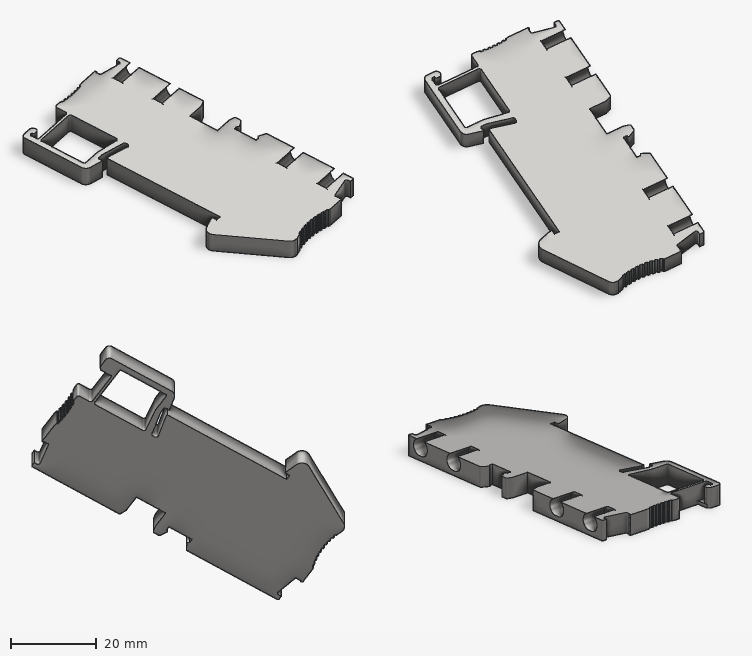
import cadquery as cq
import math


THICKNESS = 5.2
LEFT_X = -36.0
RIGHT_X = 36.26
TOP_Y = 35.4
LEFT_SKIRT_Y = 12.85
RAIL_SEAT_Y = 6.09
FOOT_CATCH_Y = 4.76

TIP_ROUND = 0.15
EDGE_ROUND = 0.3
NECK_ROUND = 0.4
BEND_ROUND = 0.5
STRIP_ROUND = 0.6
CURL_ROUND = 0.7
FOOT_ROUND = 1.05

HOOK_X = 34.26
HOOK_UNDERSIDE_Y = 34.13
HOOK_NECK_X = 32.9
SHOULDER_Y = 28.02
LEDGE_Y = 28.26
LEDGE_WIDTH = 0.5

DEEP_NOTCH_LEFT = -9.07
DEEP_NOTCH_RIGHT = -0.97
DEEP_NOTCH_FLOOR_Y = 29.3
DEEP_NOTCH_TAPER_Y = 33.7
DEEP_NOTCH_MOUTH_LEFT = -9.75
POST_TOP_LEFT = -0.5
POST_TOP_RIGHT = 1.3
SNAP_NOTCH_LEFT = 1.8
SNAP_NOTCH_RIGHT = 8.18
SNAP_NOTCH_FLOOR_Y = 32.15
SNAP_LIP_Y = 33.4
SNAP_LIP_REACH = 0.5
SNAP_LIP_HEIGHT = 0.3
SNAP_MOUTH_RIGHT = 8.7

STRIP_OUTER_X = -32.3
STRIP_INNER_X = -31.62
FOOT_BAR_TOP_Y = 1.52
WINDOW_TOP_RIGHT_X = -17.42
WINDOW_BEND_X = -18.64
WINDOW_BEND_Y = 6.4
CURL_TOP_Y = 4.08
CURL_NOSE_X = -34.15
CURL_NOSE_Y = 2.36
CURL_THROAT_X = -34.75
WEB_HEIGHT = 0.9
WEB_FILLET = 0.35
WEB_LEFT_X = (LEFT_X + CURL_THROAT_X) / 2
LATCH_TIP_X = -15.9
LATCH_HEEL_X = -17.1
LATCH_HEEL_ROUND = 1.7
LATCH_THROAT_X = -17.23
SLOT_TOP_LEFT_X = -15.6
SLOT_TOP_RIGHT_X = -13.95
SLOT_MOUTH_X = -15.6
SLOT_BEND_Y = 6.7

FIXED_FOOT_ROOT_X = 17.5
FIXED_FOOT_TIP_X = 16.15
FIXED_FOOT_APEX = (17.885, -0.932)
FIXED_FOOT_ROUND = 1.885
END_ROUND = 1.8
FIXED_FOOT_SLOPE = math.radians(30)

GRIP_PITCH = 1.22
GRIP_GAP = 0.72
GRIP_GAP_DEPTH = 0.25
GRIP_GAP_BAR_LENGTH = 4.0
LEFT_GRIP_Y = 18.67
LEFT_GRIP_SAG = 0.42
LEFT_GRIP_HALF_CHORD = 4.3
LEFT_GRIP_GAPS = 6
RIGHT_GRIP_Y = 17.4
RIGHT_GRIP_GAP_Y = 18.06
RIGHT_GRIP_SAG = 1.09
RIGHT_GRIP_HALF_CHORD = 6.2
RIGHT_GRIP_GAPS = 9

GROOVE_XS = (-29.9, -18.15, 18.15, 29.9)
GROOVE_END_Y = 28.86
GROOVE_HALF_OPENING = 1.3
GROOVE_HALF_FLOOR = 0.33
GROOVE_RADIUS = 2.1


def unit(start, end):
    """Unit vector from start to end."""
    length = math.dist(start, end)
    return ((end[0] - start[0]) / length, (end[1] - start[1]) / length)


def rounded_prism(corners, height):
    """Extrude a closed outline of (x, y, radius) corners, each rounded by its radius."""
    path = None
    for index, (x, y, radius) in enumerate(corners):
        to_before = unit((x, y), corners[index - 1][:2])
        to_after = unit((x, y), corners[(index + 1) % len(corners)][:2])
        cosine = to_before[0] * to_after[0] + to_before[1] * to_after[1]
        half_angle = math.acos(cosine) / 2
        setback = radius / math.tan(half_angle)
        entry = (x + setback * to_before[0], y + setback * to_before[1])
        path = path.lineTo(*entry) if path else cq.Workplane("XY").moveTo(*entry)
        if radius > 0:
            leave = (x + setback * to_after[0], y + setback * to_after[1])
            bisector = unit((0, 0), (to_before[0] + to_after[0], to_before[1] + to_after[1]))
            reach = radius / math.sin(half_angle) - radius
            middle = (x + reach * bisector[0], y + reach * bisector[1])
            path = path.threePointArc(middle, leave)
    return path.close().extrude(height)


def end_hook():
    """Corners of the right-hand end hook, from the top edge down to the ledge."""
    return [
        (HOOK_X, TOP_Y, EDGE_ROUND),
        (HOOK_X, HOOK_UNDERSIDE_Y, 0),
        (HOOK_NECK_X, HOOK_UNDERSIDE_Y, BEND_ROUND),
        (HOOK_X, SHOULDER_Y, EDGE_ROUND),
        (RIGHT_X - LEDGE_WIDTH, SHOULDER_Y, 0),
        (RIGHT_X - LEDGE_WIDTH, LEDGE_Y, 0),
    ]


def mirrored(corners):
    """The same corners mirrored about X = 0, in reverse order."""
    return [(-x, y, radius) for x, y, radius in reversed(corners)]


def top_notches():
    """Corners of the deep notch, the post beside it and the snap notch, left to right."""
    return [
        (DEEP_NOTCH_MOUTH_LEFT, TOP_Y, EDGE_ROUND),
        (DEEP_NOTCH_LEFT, DEEP_NOTCH_TAPER_Y, BEND_ROUND),
        (DEEP_NOTCH_LEFT, DEEP_NOTCH_FLOOR_Y, 0),
        (DEEP_NOTCH_RIGHT, DEEP_NOTCH_FLOOR_Y, 0),
        (DEEP_NOTCH_RIGHT, DEEP_NOTCH_TAPER_Y, BEND_ROUND),
        (POST_TOP_LEFT, TOP_Y, NECK_ROUND),
        (POST_TOP_RIGHT, TOP_Y, BEND_ROUND),
        (SNAP_NOTCH_LEFT + SNAP_LIP_REACH, SNAP_LIP_Y, TIP_ROUND),
        (SNAP_NOTCH_LEFT, SNAP_LIP_Y - SNAP_LIP_HEIGHT, 0),
        (SNAP_NOTCH_LEFT, SNAP_NOTCH_FLOOR_Y, 0),
        (SNAP_NOTCH_RIGHT, SNAP_NOTCH_FLOOR_Y, 0),
        (SNAP_NOTCH_RIGHT, SNAP_LIP_Y - SNAP_LIP_HEIGHT, 0),
        (SNAP_NOTCH_RIGHT - SNAP_LIP_REACH, SNAP_LIP_Y, TIP_ROUND),
        (SNAP_MOUTH_RIGHT, TOP_Y, BEND_ROUND),
    ]


def fixed_foot():
    """Corners of the fixed foot, from the right end round to the rail seat."""
    apex_x, apex_y = FIXED_FOOT_APEX
    slope_end_y = apex_y + (RIGHT_X - apex_x) * math.tan(FIXED_FOOT_SLOPE)
    return [
        (RIGHT_X, slope_end_y, END_ROUND),
        (apex_x, apex_y, FIXED_FOOT_ROUND),
        (FIXED_FOOT_TIP_X, FOOT_CATCH_Y, EDGE_ROUND),
        (FIXED_FOOT_ROOT_X, FOOT_CATCH_Y, 0),
        (FIXED_FOOT_ROOT_X, RAIL_SEAT_Y, 0),
    ]


def spring_foot():
    """Corners of the latch slot and the spring foot, from the rail seat to the left end."""
    return [
        (SLOT_MOUTH_X, RAIL_SEAT_Y, 0),
        (SLOT_MOUTH_X, SLOT_BEND_Y, BEND_ROUND),
        (SLOT_TOP_RIGHT_X, LEFT_SKIRT_Y, STRIP_ROUND),
        (SLOT_TOP_LEFT_X, LEFT_SKIRT_Y, NECK_ROUND),
        (LATCH_THROAT_X, WINDOW_BEND_Y, BEND_ROUND),
        (LATCH_THROAT_X, FOOT_CATCH_Y, EDGE_ROUND),
        (LATCH_TIP_X, FOOT_CATCH_Y, 0),
        (LATCH_HEEL_X, 0, LATCH_HEEL_ROUND),
        (LEFT_X, 0, FOOT_ROUND),
        (LEFT_X, CURL_TOP_Y, FOOT_ROUND),
        (CURL_NOSE_X, CURL_TOP_Y, CURL_ROUND),
        (CURL_NOSE_X, CURL_NOSE_Y, BEND_ROUND),
        (CURL_THROAT_X, CURL_NOSE_Y, 0),
        (CURL_THROAT_X, FOOT_BAR_TOP_Y, BEND_ROUND),
        (STRIP_OUTER_X, FOOT_BAR_TOP_Y, NECK_ROUND),
        (STRIP_OUTER_X, LEFT_SKIRT_Y, STRIP_ROUND),
        (LEFT_X, LEFT_SKIRT_Y, BEND_ROUND),
    ]


def left_end():
    """Corners of the left end hook, from the ledge up to the top edge."""
    hook = mirrored(end_hook())
    ledge_x = LEFT_X + LEDGE_WIDTH
    return [(LEFT_X, LEDGE_Y, 0), (ledge_x, LEDGE_Y, 0), (ledge_x, SHOULDER_Y, 0)] + hook[2:]


def foot_window():
    """Opening enclosed by the spring foot."""
    corners = [
        (STRIP_INNER_X, FOOT_BAR_TOP_Y, NECK_ROUND),
        (WINDOW_BEND_X, FOOT_BAR_TOP_Y, NECK_ROUND),
        (WINDOW_BEND_X, WINDOW_BEND_Y, BEND_ROUND),
        (WINDOW_TOP_RIGHT_X, LEFT_SKIRT_Y, BEND_ROUND),
        (STRIP_INNER_X, LEFT_SKIRT_Y, STRIP_ROUND),
    ]
    return rounded_prism(corners, THICKNESS)


def curl_web():
    """Thin web closing the bottom of the curl of the spring foot."""
    buried_y = FOOT_BAR_TOP_Y / 2
    buried_x = (STRIP_OUTER_X + STRIP_INNER_X) / 2
    corners = [
        (WEB_LEFT_X, buried_y, 0),
        (buried_x, buried_y, 0),
        (buried_x, CURL_TOP_Y + 2 * WEB_FILLET, 0),
        (STRIP_OUTER_X, CURL_TOP_Y + 2 * WEB_FILLET, 0),
        (STRIP_OUTER_X, CURL_TOP_Y, WEB_FILLET),
        (WEB_LEFT_X, CURL_TOP_Y, 0),
    ]
    return rounded_prism(corners, WEB_HEIGHT)


def grip_cut(end_x, outward, arc_y, sag, half_chord, gap_y, gap_count):
    """Concave grip at end_x (outward is +1 or -1) with evenly pitched gaps between its teeth."""
    radius = (half_chord**2 + sag**2) / (2 * sag)
    centre = (end_x + outward * (radius - sag), arc_y)
    hollow = cq.Workplane("XY").center(*centre).circle(radius).extrude(THICKNESS)
    gap_bars = (
        cq.Workplane("XY")
        .center(end_x, gap_y)
        .rarray(1, GRIP_PITCH, 1, gap_count)
        .rect(GRIP_GAP_BAR_LENGTH, GRIP_GAP)
        .extrude(THICKNESS)
    )
    deeper = cq.Workplane("XY").center(*centre).circle(radius + GRIP_GAP_DEPTH).extrude(THICKNESS)
    return hollow.union(gap_bars.intersect(deeper))


def probe_groove(x):
    """Groove along Y with a flat floor and round undercut sides."""
    rise = math.sqrt(GROOVE_RADIUS**2 - (GROOVE_HALF_OPENING - GROOVE_HALF_FLOOR) ** 2)
    centre_z = THICKNESS - rise
    floor_z = centre_z - GROOVE_RADIUS
    side_x = GROOVE_HALF_FLOOR + GROOVE_RADIUS
    return (
        cq.Workplane("XZ", origin=(x, TOP_Y, 0))
        .moveTo(-GROOVE_HALF_FLOOR, floor_z)
        .lineTo(GROOVE_HALF_FLOOR, floor_z)
        .threePointArc((side_x, centre_z), (GROOVE_HALF_OPENING, THICKNESS))
        .lineTo(-GROOVE_HALF_OPENING, THICKNESS)
        .threePointArc((-side_x, centre_z), (-GROOVE_HALF_FLOOR, floor_z))
        .close()
        .extrude(TOP_Y - GROOVE_END_Y)
    )


def grips():
    """Cutting bodies of the left and right finger grips."""
    left = grip_cut(
        LEFT_X, -1, LEFT_GRIP_Y, LEFT_GRIP_SAG, LEFT_GRIP_HALF_CHORD, LEFT_GRIP_Y, LEFT_GRIP_GAPS
    )
    right = grip_cut(
        RIGHT_X, 1, RIGHT_GRIP_Y, RIGHT_GRIP_SAG, RIGHT_GRIP_HALF_CHORD, RIGHT_GRIP_GAP_Y, RIGHT_GRIP_GAPS
    )
    return left, right


right_ledge = [(RIGHT_X, LEDGE_Y, EDGE_ROUND)]
outline = left_end() + top_notches() + end_hook() + right_ledge + fixed_foot() + spring_foot()

result = rounded_prism(outline, THICKNESS).cut(foot_window()).union(curl_web())
for grip in grips():
    result = result.cut(grip)
for groove_x in GROOVE_XS:
    result = result.cut(probe_groove(groove_x))